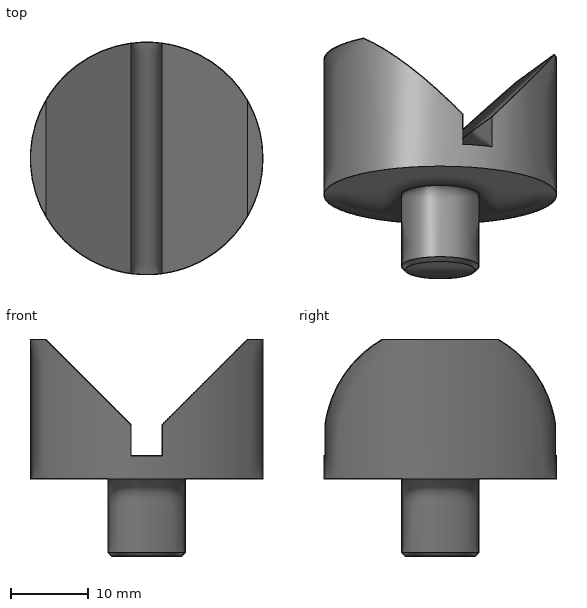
import cadquery as cq

head_diameter = 30.0
head_height = 18.0
pin_diameter = 10.0
pin_length = 10.0
pin_chamfer = 0.5

slot_width = 4.0
slot_floor = 3.0
groove_width = 26.0

slot_half = slot_width / 2
groove_half = groove_width / 2
v_depth = groove_half - slot_half
v_bottom = head_height - v_depth


def make_head():
    """Cylinder standing on the Z = 0 plane."""
    return cq.Workplane("XY").circle(head_diameter / 2).extrude(head_height)


def make_pin():
    """Pin hanging below the head, chamfered at its free end."""
    pin = cq.Workplane("XY").circle(pin_diameter / 2).extrude(-pin_length)
    return pin.faces("<Z").chamfer(pin_chamfer)


def make_groove():
    """Cutter for the V groove and its slot, through the full head along Y."""
    outline = [
        (-slot_half, slot_floor),
        (slot_half, slot_floor),
        (slot_half, v_bottom),
        (groove_half, head_height),
        (-groove_half, head_height),
        (-slot_half, v_bottom),
    ]
    return cq.Workplane("XZ").polyline(outline).close().extrude(head_diameter / 2, both=True)


result = make_head().cut(make_groove()).union(make_pin())